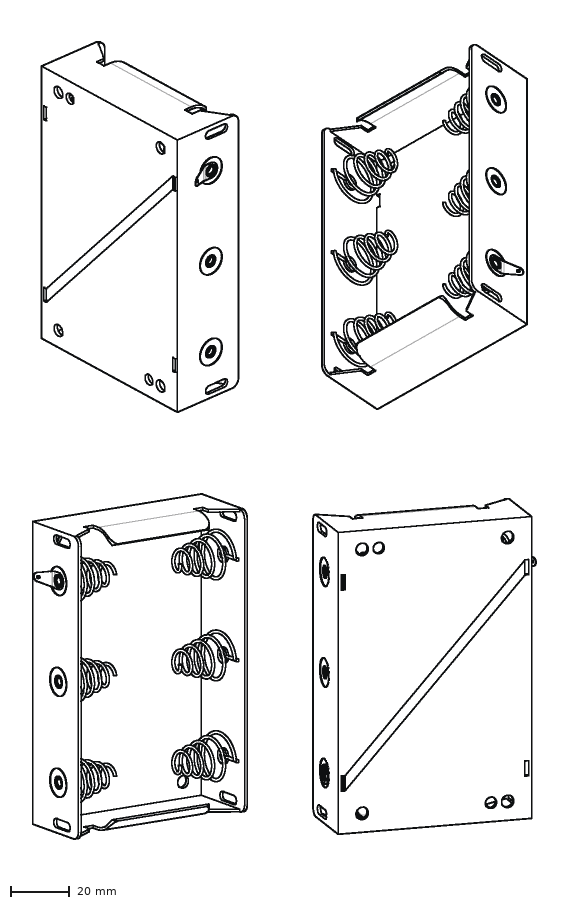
import cadquery as cq
import math

length = 106.5
width = 69.4
height = 28.0
side_wall_thickness = 1.2
end_wall_thickness = 1.0
floor_thickness = 1.5
side_corner_radius = 3.0

half_length = length / 2
half_width = width / 2
inner_half_width = half_width - side_wall_thickness
bottom = -height / 2
rim = height / 2

shoulder_high = rim - side_corner_radius
shoulder_low = 5.4
notch_outer_x = 24.4
notch_inner_x = 20.7
notch_floor = 2.0
curl_start = 5.0
curl_end = 13.4
curl_radius = 10.1
tab_corner_radius = 2.8

cell_pitch = 35.5
cell_y = 1.5
cell_levels = [-cell_pitch, 0, cell_pitch]

mount_hole_x = 26.1
mount_hole_z = 46.5
mount_hole_diameter = 4.4
key_hole_x = -20.1
key_hole_diameter = 3.9

side_slot_length = 10.0
side_slot_width = 3.2
side_slot_y = 3.9
side_slot_z = 49.8

floor_slot_width = 1.3
floor_slot_length = 5.3

strap_thickness = 0.5

recess_radius = 5.0
recess_depth = 0.3
flange_radius = 2.2
flange_thickness = 0.1
shank_radius = 1.8
bore_radius = 1.3
countersink = 0.4
head_radius = 2.8
head_thickness = 0.9
wire_diameter = 1.1
spring_pitch = 3.9
spring_turns = 5
spring_tip_radius = 3.1
spring_cone_angle = 16.5

lug_thickness = 0.2
lug_radius = 3.0
lug_bend_start = -1.0
lug_bend_radius = 2.6
lug_bend_angle = 25.9
lug_shoulder_y = -2.0
lug_shoulder_half_width = 2.8
lug_tip_y = -8.57
lug_tip_radius = 1.65
lug_hole_diameter = 1.0

recess_floor_x = -half_width + recess_depth
lug_level = -cell_pitch


def box(x_range, y_range, z_range):
    """Axis-aligned block between the given limits."""
    sizes = [high - low for low, high in (x_range, y_range, z_range)]
    corner = (x_range[0], y_range[0], z_range[0])
    return cq.Workplane("XY").box(*sizes, centered=False).translate(corner)


def x_cylinder(radius, x_start, x_end, z=0.0):
    """Cylinder along X on the axis of the cell at height z."""
    disc = cq.Workplane("YZ", origin=(x_start, cell_y, z)).circle(radius)
    return disc.extrude(x_end - x_start)


def half_turn(body):
    """The same body turned half way round the Y axis."""
    return body.rotate((0, 0, 0), (0, 1, 0), 180)


def side_wall():
    """Wall on the -X side with both free corners rounded."""
    wall_plate = box((-half_width, -inner_half_width), (bottom, rim), (-half_length, half_length))
    wall_plate = wall_plate.edges("|X and >Y").fillet(side_corner_radius)
    slots = (
        cq.Workplane("YZ", origin=(-half_width, 0, 0))
        .pushPoints([(side_slot_y, -side_slot_z), (side_slot_y, side_slot_z)])
        .slot2D(side_slot_length, side_slot_width)
        .extrude(side_wall_thickness)
    )
    wall_plate = wall_plate.cut(slots)
    for level in cell_levels:
        wall_plate = wall_plate.cut(x_cylinder(recess_radius, -half_width, recess_floor_x, level))
        wall_plate = wall_plate.cut(x_cylinder(shank_radius, -half_width, -inner_half_width, level))
    return wall_plate


def curled_tab():
    """Middle of the +Z end wall, curling inward over the cell, with rounded free corners."""
    inner_radius = curl_radius - end_wall_thickness
    axis_z = half_length - curl_radius
    end_angle = math.asin((curl_end - curl_start) / curl_radius)

    def arc_point(radius, angle):
        return (curl_start + radius * math.sin(angle), axis_z + radius * math.cos(angle))

    curl = (
        cq.Workplane("YZ", origin=(-notch_inner_x, 0, 0))
        .moveTo(bottom, half_length)
        .lineTo(curl_start, half_length)
        .threePointArc(arc_point(curl_radius, end_angle / 2), arc_point(curl_radius, end_angle))
        .lineTo(*arc_point(inner_radius, end_angle))
        .threePointArc(arc_point(inner_radius, end_angle / 2), arc_point(inner_radius, 0))
        .lineTo(bottom, half_length - end_wall_thickness)
        .close()
        .extrude(2 * notch_inner_x)
    )
    outline = box((-notch_inner_x, notch_inner_x), (bottom, curl_end), (axis_z, half_length))
    outline = outline.edges("|Z and >Y").fillet(tab_corner_radius)
    return curl.intersect(outline)


def end_wall():
    """Wall at the +Z end: shoulders that slope down to the notches, and the curled tab."""
    shoulders = (
        cq.Workplane("XY", origin=(0, 0, half_length - end_wall_thickness))
        .moveTo(-inner_half_width, bottom)
        .lineTo(-inner_half_width, shoulder_high)
        .lineTo(-notch_outer_x, shoulder_low)
        .lineTo(-notch_outer_x, notch_floor)
        .lineTo(notch_outer_x, notch_floor)
        .lineTo(notch_outer_x, shoulder_low)
        .lineTo(inner_half_width, shoulder_high)
        .lineTo(inner_half_width, bottom)
        .close()
        .extrude(end_wall_thickness)
    )
    return shoulders.union(curled_tab())


def floor_openings():
    """Holes and the contact slots of the +Z half of the floor."""
    mount_points = [(-mount_hole_x, mount_hole_z), (mount_hole_x, mount_hole_z)]
    slot_x = inner_half_width - floor_slot_width / 2
    openings = (
        cq.Workplane("XZ", origin=(0, bottom, 0))
        .pushPoints(mount_points)
        .circle(mount_hole_diameter / 2)
        .pushPoints([(key_hole_x, mount_hole_z)])
        .circle(key_hole_diameter / 2)
        .pushPoints([(-slot_x, cell_pitch), (slot_x, cell_pitch)])
        .rect(floor_slot_width, floor_slot_length)
    )
    return openings.extrude(-floor_thickness)


def make_strap():
    """Diagonal strap whose ends line up with two opposite floor slots."""
    end_x = inner_half_width - floor_slot_width
    near = cell_pitch - floor_slot_length / 2
    far = cell_pitch + floor_slot_length / 2
    outline = cq.Workplane("XZ", origin=(0, bottom, 0)).polyline(
        [(-end_x, -near), (-end_x, -far), (end_x, near), (end_x, far)]
    )
    return outline.close().extrude(-strap_thickness)


def make_housing():
    """Tray with its floor, side walls, end walls and openings."""
    tray = box(
        (-half_width, half_width),
        (bottom, bottom + floor_thickness),
        (-half_length, half_length),
    )
    for feature in (side_wall(), end_wall()):
        tray = tray.union(feature).union(half_turn(feature))
    openings = floor_openings()
    return tray.cut(openings).cut(half_turn(openings)).cut(make_strap())


def conical_spring():
    """Spring that widens from its tip towards the -X wall, with a leg back to the eyelet."""
    wire_radius = wire_diameter / 2
    spring_length = spring_pitch * spring_turns
    base_x = -inner_half_width + wire_radius
    tip_x = base_x + spring_length
    base_radius = spring_tip_radius + spring_length * math.tan(math.radians(spring_cone_angle))

    helix = cq.Wire.makeHelix(spring_pitch, spring_length, spring_tip_radius, angle=spring_cone_angle)
    coil = (
        cq.Workplane("XZ", origin=(spring_tip_radius, 0, 0))
        .circle(wire_radius)
        .sweep(cq.Workplane(helix), isFrenet=True)
        .rotate((0, 0, 0), (0, 0, 1), 90)
        .rotate((0, 0, 0), (0, 1, 0), -90)
        .translate((tip_x, cell_y, 0))
    )
    leg_base = (bore_radius + head_radius) / 2
    leg = cq.Workplane("XZ", origin=(base_x, cell_y + leg_base, 0)).circle(wire_radius)
    leg = leg.extrude(-(base_radius - leg_base))
    knee = cq.Workplane("XY").sphere(wire_radius).translate((base_x, cell_y + base_radius, 0))
    return coil.union(knee).union(leg)


def make_contact(seat_x):
    """Contact at the -X wall; its outer flange rests on the surface at seat_x."""
    flange_x = seat_x - flange_thickness
    head_end_x = -inner_half_width + head_thickness
    eyelet = (
        x_cylinder(flange_radius, flange_x, seat_x)
        .union(x_cylinder(shank_radius, flange_x, head_end_x))
        .union(x_cylinder(head_radius, -inner_half_width, head_end_x))
    )
    eyelet = eyelet.cut(x_cylinder(bore_radius, flange_x, head_end_x))
    flare_radius = bore_radius + countersink
    flare = cq.Solid.makeCone(
        flare_radius, bore_radius, countersink, pnt=(flange_x, cell_y, 0), dir=(1, 0, 0)
    )
    eyelet = eyelet.cut(cq.Workplane(flare))
    return eyelet.union(conical_spring())


def make_lug():
    """Lug at the -X wall: a flat eye in the recess and a tapered tail bent outward."""
    bend = math.radians(lug_bend_angle)
    back_x = recess_floor_x
    centre_x = back_x - lug_thickness - lug_bend_radius
    eye_end_y = cell_y + lug_radius

    def bend_point(radius, angle):
        return (centre_x + radius * math.cos(angle), lug_bend_start - radius * math.sin(angle))

    def tail_end(point):
        run = point[1] - lug_tip_y
        return (point[0] - run * math.tan(bend), lug_tip_y)

    inner = lug_bend_radius
    outer = lug_bend_radius + lug_thickness
    strip = (
        cq.Workplane("XY", origin=(0, 0, -lug_radius))
        .moveTo(back_x, eye_end_y)
        .lineTo(back_x, lug_bend_start)
        .threePointArc(bend_point(outer, bend / 2), bend_point(outer, bend))
        .lineTo(*tail_end(bend_point(outer, bend)))
        .lineTo(*tail_end(bend_point(inner, bend)))
        .lineTo(*bend_point(inner, bend))
        .threePointArc(bend_point(inner, bend / 2), bend_point(inner, 0))
        .lineTo(back_x - lug_thickness, eye_end_y)
        .close()
        .extrude(2 * lug_radius)
    )

    tip_centre_y = lug_tip_y + lug_tip_radius
    outline = (
        cq.Workplane("YZ", origin=(-2 * half_width, 0, 0))
        .moveTo(cell_y, lug_radius)
        .lineTo(lug_bend_start, lug_radius)
        .lineTo(lug_shoulder_y, lug_shoulder_half_width)
        .lineTo(tip_centre_y, lug_tip_radius)
        .threePointArc((lug_tip_y, 0), (tip_centre_y, -lug_tip_radius))
        .lineTo(lug_shoulder_y, -lug_shoulder_half_width)
        .lineTo(lug_bend_start, -lug_radius)
        .lineTo(cell_y, -lug_radius)
        .threePointArc((eye_end_y, 0), (cell_y, lug_radius))
        .close()
        .moveTo(cell_y, 0)
        .circle(shank_radius)
        .moveTo(tip_centre_y, 0)
        .circle(lug_hole_diameter / 2)
        .extrude(2 * half_width)
    )
    return strip.intersect(outline).translate((0, 0, lug_level))


housing = make_housing()
strap = make_strap()

lug = make_lug()
lugs = [lug, half_turn(lug)]

contacts = []
for level in cell_levels:
    seat_x = recess_floor_x - (lug_thickness if level == lug_level else 0)
    contact = make_contact(seat_x).translate((0, 0, level))
    contacts += [contact, half_turn(contact)]

result = cq.Compound.makeCompound(
    [housing.val(), strap.val()]
    + [body.val() for body in lugs]
    + [body.val() for body in contacts]
)